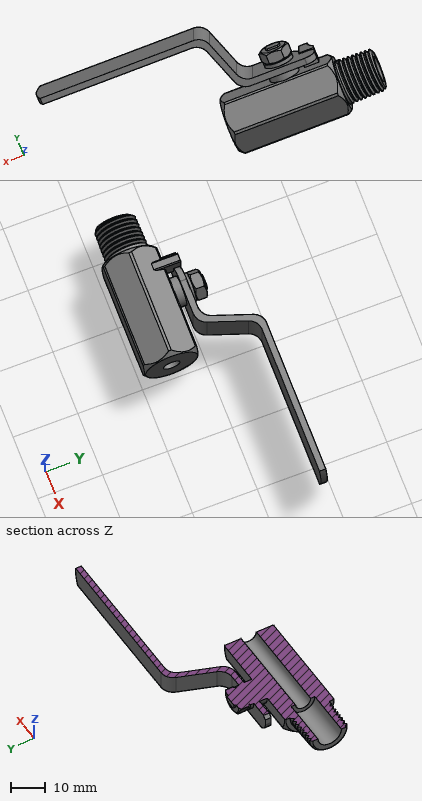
import cadquery as cq
import math


body_start = 11.3
body_end = 46.1
body_across_flats = 16.5
body_corner_diameter = 18.6
body_end_diameter = 16.1
body_chamfer_length = 1.4

thread_pitch = 1.3
thread_depth = 0.85
thread_crest_diameter = 12.7
collar_diameter = 13.2
collar_length = 0.6
thread_end = body_start - collar_length
entry_chamfer = 0.7
groove_mouth = 1.2
groove_overcut = 0.1
groove_start = -0.9
groove_end = 10.5
groove_start_angle = 220

port_diameter = 7.8
port_depth = 15.1
bore_diameter = 5.0

handle_end = 94.55
handle_width = 11.9
handle_thickness = 2.0
handle_end_bulge = 1.2
overall_height = 37.7
handle_top = overall_height - body_across_flats / 2
seat_height = 10.7
seat_top = seat_height + handle_thickness
lean_start = 37.1
handle_lean = math.radians(19.3)
bend_radius = 4.1
nose_center = 25.15
tongue_tip = 15.1
tongue_upper = -0.9
tongue_lower = -3.0

stop_front = 15.3
stop_back = 19.8
stop_bottom = 0.1
stop_front_top = 2.3
stop_crest_front = 17.0
stop_crest = 6.8
stop_hollow = (16.5, 4.2)
stop_edge_chamfer = 0.4
stop_top = 13.0

stem_x = 26.0
boss_diameter = 9.0
washer_diameter = 8.7
washer_height = 1.1
nut_across_flats = 7.9
nut_height = 3.6
nut_chamfer_height = 0.6
nut_chamfer_inset = 0.85
stud_diameter = 4.4
stud_flats = 3.2
stud_protrusion = 0.6
washer_top = seat_top + washer_height
nut_top = washer_top + nut_height
stud_top = nut_top + stud_protrusion


def across_corners(across_flats):
    return across_flats / math.cos(math.radians(30))


def cylinder_x(diameter, start, end):
    return cq.Workplane("YZ", origin=(start, 0, 0)).circle(diameter / 2).extrude(end - start)


def plane_at_height(height, x=0.0):
    """Sketch plane facing +Y; its local axes are +X and -Z."""
    plane = cq.Plane(origin=(x, height, 0), xDir=(1, 0, 0), normal=(0, 1, 0))
    return cq.Workplane(plane)


def stem_cylinder(diameter, bottom, top):
    return plane_at_height(bottom, stem_x).circle(diameter / 2).extrude(top - bottom)


def make_body():
    """Hexagon with its corners turned down and both ends chamfered."""
    hexagon = (
        cq.Workplane("YZ", origin=(body_start, 0, 0))
        .transformed(rotate=(0, 0, 30))
        .polygon(6, across_corners(body_across_flats))
        .extrude(body_end - body_start)
    )
    end_chamfer = (body_corner_diameter - body_end_diameter) / 2
    envelope = (
        cylinder_x(body_corner_diameter, body_start, body_end)
        .faces("<X or >X")
        .chamfer(body_chamfer_length, end_chamfer)
    )
    return hexagon.intersect(envelope)


def make_thread_groove():
    """V-shaped right-hand groove that winds along the taper of the thread."""
    taper = math.degrees(math.atan((collar_diameter - thread_crest_diameter) / 2 / thread_end))
    crest = thread_crest_diameter / 2
    helix = cq.Wire.makeHelix(thread_pitch, groove_end - groove_start, crest, angle=taper)
    groove = (
        cq.Workplane("XZ", origin=(crest, 0, 0))
        .polyline([
            (-thread_depth, 0),
            (groove_overcut, -groove_mouth / 2),
            (groove_overcut, groove_mouth / 2),
        ])
        .close()
        .sweep(cq.Workplane(obj=helix), isFrenet=True)
    )
    return (
        groove.rotate((0, 0, 0), (0, 0, 1), groove_start_angle)
        .rotate((0, 0, 0), (0, 1, 0), 90)
        .translate((groove_start, 0, 0))
    )


def make_thread():
    """Tapered blank with a collar against the body and a helical groove."""
    crest = thread_crest_diameter / 2
    collar = collar_diameter / 2
    blank = (
        cq.Workplane("XY")
        .polyline([
            (0, 0),
            (0, crest - entry_chamfer),
            (entry_chamfer, crest),
            (thread_end, collar),
            (body_start, collar),
            (body_start, 0),
        ])
        .close()
        .revolve(360, (0, 0, 0), (1, 0, 0))
    )
    return blank.cut(make_thread_groove())


def make_handle():
    """Cranked strip with a round nose, a stop tongue and a bowed grip end."""
    slope_run = (handle_top - seat_top) * math.tan(handle_lean)
    bend_shift = handle_thickness * math.tan((math.pi / 2 - handle_lean) / 2)
    upper_bend = lean_start + slope_run
    strip = (
        cq.Workplane("XY")
        .polyline([
            (tongue_tip, seat_height),
            (lean_start + bend_shift, seat_height),
            (upper_bend + bend_shift, handle_top - handle_thickness),
            (handle_end, handle_top - handle_thickness),
            (handle_end, handle_top),
            (upper_bend, handle_top),
            (lean_start, seat_top),
            (tongue_tip, seat_top),
        ])
        .close()
        .extrude(handle_width / 2, both=True)
    )
    margin = 0.9
    bend_box = cq.selectors.BoxSelector(
        (lean_start - margin, seat_height - margin, -margin),
        (upper_bend + bend_shift + margin, handle_top + margin, margin),
    )
    strip = strip.edges("|Z").edges(bend_box).fillet(bend_radius)

    half = handle_width / 2
    straight_end = handle_end - handle_end_bulge
    outline = (
        plane_at_height(seat_height)
        .moveTo(nose_center, half)
        .lineTo(straight_end, half)
        .threePointArc((handle_end, 0), (straight_end, -half))
        .lineTo(nose_center, -half)
        .threePointArc((nose_center - half, 0), (nose_center, half))
        .close()
        .extrude(handle_top - seat_height)
    )

    bevel = stop_bottom - tongue_upper
    corner_radius = half + tongue_lower
    tongue = (
        plane_at_height(seat_height)
        .moveTo(tongue_tip, -tongue_upper)
        .lineTo(tongue_tip, -tongue_lower)
        .tangentArcPoint((tongue_tip + corner_radius, half), relative=False)
        .lineTo(nose_center, half)
        .lineTo(nose_center, -stop_bottom)
        .lineTo(tongue_tip + bevel, -stop_bottom)
        .close()
        .extrude(handle_thickness)
    )
    return strip.intersect(outline.union(tongue))


def make_stop():
    """Upright lug with a hollow front; its foot is buried in the hexagon."""
    hollow_x, hollow_z = stop_hollow
    lug = (
        plane_at_height(0)
        .moveTo(stop_front, -stop_bottom)
        .lineTo(stop_front, -stop_front_top)
        .threePointArc((hollow_x, -hollow_z), (stop_crest_front, -stop_crest))
        .lineTo(stop_back, -stop_crest)
        .lineTo(stop_back, -stop_bottom)
        .close()
        .extrude(stop_top)
    )
    return lug.faces(">Z").edges("|Y").chamfer(stop_edge_chamfer)


def make_stem():
    """Stem boss, washer, chamfered nut and the flatted stud end above it."""
    boss = stem_cylinder(boss_diameter, 0, seat_height)
    washer = stem_cylinder(washer_diameter, seat_top, washer_top)
    nut_corners = across_corners(nut_across_flats)
    nut = plane_at_height(washer_top, stem_x).polygon(6, nut_corners).extrude(nut_height)
    nut = nut.intersect(
        stem_cylinder(nut_corners, washer_top, nut_top)
        .faces("<Y or >Y")
        .chamfer(nut_chamfer_height, nut_chamfer_inset)
    )
    flats = plane_at_height(nut_top, stem_x).rect(stud_diameter, stud_flats).extrude(stud_protrusion)
    stud = stem_cylinder(stud_diameter, nut_top, stud_top).intersect(flats)
    return boss.union(washer).union(nut).union(stud)


result = (
    make_body()
    .union(make_thread())
    .union(make_stem())
    .union(make_handle())
    .union(make_stop())
    .cut(cylinder_x(port_diameter, 0, port_depth))
    .cut(cylinder_x(bore_diameter, 0, body_end))
)